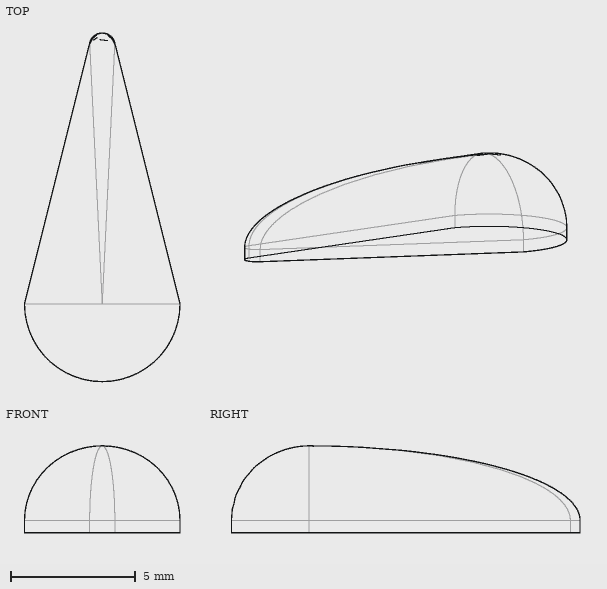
import cadquery as cq
import math

length = 14.0
width = 6.25
height = 3.5
base_height = 0.5
tip_radius = 0.52

round_radius = width / 2
dome_height = height - base_height
tip_end_y = length - round_radius
tip_center_y = tip_end_y - tip_radius

corner_to_tip_center = math.hypot(round_radius, tip_center_y)
side_lean = math.atan(round_radius / tip_center_y) - math.asin(tip_radius / corner_to_tip_center)
tangent_x = tip_radius * math.cos(side_lean)
tangent_y = tip_center_y + tip_radius * math.sin(side_lean)

tip_sections = 9


def base_plate():
    """Flat plate with the teardrop outline."""
    return (
        cq.Workplane("XY")
        .moveTo(round_radius, 0)
        .lineTo(tangent_x, tangent_y)
        .threePointArc((0, tip_end_y), (-tangent_x, tangent_y))
        .lineTo(-round_radius, 0)
        .threePointArc((0, -round_radius), (round_radius, 0))
        .close()
        .extrude(base_height)
    )


def round_end_dome():
    """Half of an elliptical dome over the round end."""
    return (
        cq.Workplane("XZ", origin=(0, 0, base_height))
        .lineTo(round_radius, 0)
        .ellipseArc(round_radius, dome_height, 0, 90, startAtCurrent=True)
        .close()
        .revolve(180, (0, 0), (0, -1))
    )


def meridian(foot_x, foot_y):
    """Quarter ellipse that rises upright from the outline and is level at the apex."""
    return cq.Edge.makeEllipse(
        math.hypot(foot_x, foot_y),
        dome_height,
        pnt=cq.Vector(0, 0, base_height),
        dir=cq.Vector(foot_y, -foot_x, 0),
        xdir=cq.Vector(foot_x, foot_y, 0),
        angle1=0,
        angle2=90,
    )


def tip_section(foot_x, foot_y):
    """Upright section of the dome from its axis out to a point of the outline."""
    center = cq.Vector(0, 0, base_height)
    apex = cq.Vector(0, 0, height)
    floor_line = cq.Edge.makeLine(center, cq.Vector(foot_x, foot_y, base_height))
    axis_line = cq.Edge.makeLine(apex, center)
    return cq.Wire.assembleEdges([floor_line, meridian(foot_x, foot_y), axis_line])


def tip_face():
    """Narrow curved face that fans out from the apex to the tip arc."""
    sweep = math.pi - 2 * side_lean
    sections = []
    for i in range(tip_sections):
        angle = side_lean + sweep * i / (tip_sections - 1)
        foot_x = tip_radius * math.cos(angle)
        foot_y = tip_center_y + tip_radius * math.sin(angle)
        sections.append(tip_section(foot_x, foot_y))
    tip_wedge = cq.Workplane(cq.Solid.makeLoft(sections))
    return tip_wedge.faces(">Z").val()


def tapered_dome():
    """Dome over the tapered part: its level outlines shrink evenly towards the apex."""
    right_corner = cq.Vector(round_radius, 0, base_height)
    left_corner = cq.Vector(-round_radius, 0, base_height)
    right_tangent = cq.Vector(tangent_x, tangent_y, base_height)
    left_tangent = cq.Vector(-tangent_x, tangent_y, base_height)
    tip_end = cq.Vector(0, tip_end_y, base_height)

    right_wide = meridian(round_radius, 0)
    left_wide = meridian(-round_radius, 0)
    right_narrow = meridian(tangent_x, tangent_y)
    left_narrow = meridian(-tangent_x, tangent_y)

    right_side = cq.Edge.makeLine(right_corner, right_tangent)
    left_side = cq.Edge.makeLine(left_corner, left_tangent)
    tip_arc = cq.Edge.makeThreePointArc(right_tangent, tip_end, left_tangent)
    cross_line = cq.Edge.makeLine(left_corner, right_corner)

    underside_outline = cq.Wire.assembleEdges([cross_line, right_side, tip_arc, left_side])
    cross_outline = cq.Wire.assembleEdges([cross_line, right_wide, left_wide])

    faces = [
        cq.Face.makeFromWires(underside_outline),
        cq.Face.makeFromWires(cross_outline),
        cq.Face.makeRuledSurface(right_wide, right_narrow),
        cq.Face.makeRuledSurface(left_wide, left_narrow),
        tip_face(),
    ]
    return cq.Workplane(cq.Solid.makeSolid(cq.Shell.makeShell(faces)))


result = base_plate().union(round_end_dome()).union(tapered_dome())